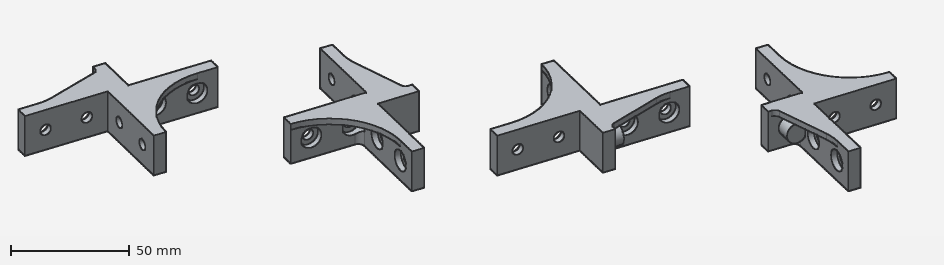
import cadquery as cq
import math

length = 90.0
cell = length / 9
height = 2 * cell
wall = 0.6 * cell
mid_height = height / 2

left_end = -2 * cell
right_end = 4 * cell
front_end = -4 * cell
back_end = 5 * cell

small_leg_back = cell
small_leg_front = small_leg_back - wall

web_thickness = wall / 2
corner_radius = 3.0
web_upper_radius = 2.7
web_lower_radius = 22.2
web_tip_y = -26.6
web_slope = 3.0

hole_diameter = 5.1
counterbore_diameter = 9.8
counterbore_depth = wall / 2
pin_diameter = 9.8
pin_length = 7.1


def block(x_min, x_max, y_min, y_max):
    """Full-height wall between the given plan limits."""
    box = cq.Workplane("XY").box(x_max - x_min, y_max - y_min, height, centered=False)
    return box.translate((x_min, y_min, 0))


def angle_bracket(upright, leg, corner):
    """Two walls joined with a round in their inside corner."""
    near_corner = cq.selectors.BoxSelector(
        (corner[0] - 0.9, corner[1] - 0.9, 0), (corner[0] + 0.9, corner[1] + 0.9, height)
    )
    return upright.union(leg).edges("|Z").edges(near_corner).fillet(corner_radius)


def extrude_web(outline):
    """Thin web flush with the top of the walls."""
    return outline.close().extrude(web_thickness)


def web_plane():
    return cq.Workplane("XY").workplane(offset=height - web_thickness)


def large_web():
    """Web with a concave quarter-circle edge tangent to both walls."""
    radius = right_end - wall
    arc_center = (right_end, wall + radius)
    diagonal = radius * math.sqrt(0.5)
    outline = (
        web_plane()
        .moveTo(0, 0)
        .lineTo(right_end, 0)
        .lineTo(right_end, wall)
        .threePointArc((arc_center[0] - diagonal, arc_center[1] - diagonal), (wall, arc_center[1]))
        .lineTo(0, arc_center[1])
    )
    return extrude_web(outline)


def small_web():
    """Web with a straight sloping edge blended into the leg and the wall."""
    slope_angle = math.atan(1 / web_slope)
    run_x = math.sin(slope_angle)
    run_y = -math.cos(slope_angle)
    top_x = -wall - (small_leg_front - web_tip_y) / web_slope

    upper_tangent = web_upper_radius * math.tan((math.pi / 2 - slope_angle) / 2)
    lower_tangent = web_lower_radius * math.tan(slope_angle / 2)

    upper_start = (top_x - upper_tangent, small_leg_front)
    slope_start = (top_x + upper_tangent * run_x, small_leg_front + upper_tangent * run_y)
    slope_end = (-wall - lower_tangent * run_x, web_tip_y - lower_tangent * run_y)
    lower_end = (-wall, web_tip_y - lower_tangent)
    outline = (
        web_plane()
        .moveTo(0, small_leg_back)
        .lineTo(upper_start[0], small_leg_back)
        .lineTo(*upper_start)
        .radiusArc(slope_start, web_upper_radius)
        .lineTo(*slope_end)
        .radiusArc(lower_end, web_lower_radius)
        .lineTo(0, lower_end[1])
    )
    return extrude_web(outline)


def cylinder(start, direction, diameter, depth):
    return cq.Workplane(cq.Solid.makeCylinder(diameter / 2, depth, cq.Vector(*start), cq.Vector(*direction)))


def counterbored_hole(mouth, direction):
    """Cutter for a hole through one wall; the counterbore starts early to clear the corner round."""
    clear_start = tuple(place - corner_radius * step for place, step in zip(mouth, direction))
    bore = cylinder(clear_start, direction, counterbore_diameter, corner_radius + counterbore_depth)
    return bore.union(cylinder(mouth, direction, hole_diameter, wall))


large_bracket = angle_bracket(
    block(0, wall, 0, back_end),
    block(0, right_end, 0, wall),
    (wall, wall),
)
small_bracket = angle_bracket(
    block(-wall, 0, front_end, small_leg_back),
    block(left_end, 0, small_leg_front, small_leg_back),
    (-wall, small_leg_front),
)
result = large_bracket.union(small_bracket).union(large_web()).union(small_web())

pin = cylinder((left_end + cell, small_leg_front, mid_height), (0, -1, 0), pin_diameter, pin_length)
result = result.union(pin)

for hole_y in (2 * cell, 4 * cell):
    result = result.cut(counterbored_hole((wall, hole_y, mid_height), (-1, 0, 0)))

for hole_x in (cell, 3 * cell):
    result = result.cut(counterbored_hole((hole_x, wall, mid_height), (0, -1, 0)))

for hole_y in (-cell, -3 * cell):
    result = result.cut(counterbored_hole((-wall, hole_y, mid_height), (1, 0, 0)))